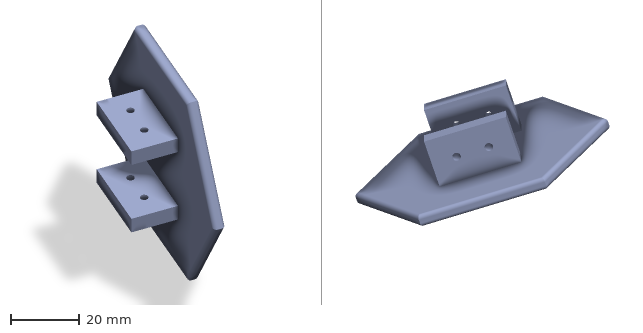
import cadquery as cq

plate_width = 77.95
plate_thickness = 3.75
edge_radius = 1.25

tab_width = 25.25
tab_length = 15.0
tab_thickness = 5.15
tab_spacing = 25.6

hole_diameter = 2.5
hole_spacing = 10.0


def make_plate():
    """Hexagon with rounded rims, its front face at Y = 0 and its back at +Y."""
    return (
        cq.Workplane("XZ")
        .polygon(6, plate_width)
        .extrude(-plate_thickness)
        .faces("<Y or >Y")
        .edges()
        .fillet(edge_radius)
    )


def make_tab(mid_height):
    """Drilled block reaching forward from the plate's front face."""
    return (
        cq.Workplane("XY")
        .box(tab_width, tab_length, tab_thickness)
        .faces(">Z")
        .workplane()
        .rarray(hole_spacing, 0.8, 2, 1)
        .hole(hole_diameter)
        .translate((0, -tab_length / 2, mid_height))
    )


result = make_plate()
for side in (-1, 1):
    result = result.union(make_tab(side * tab_spacing / 2))